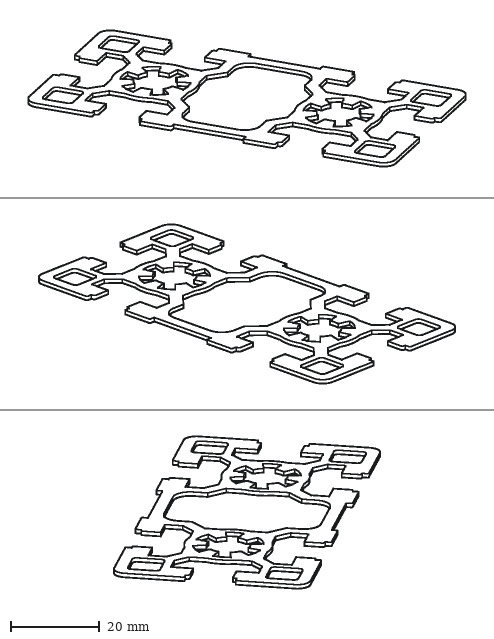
import cadquery as cq
import math

cell = 45.0
length = 2 * cell
thickness = 1.0
outer_radius = 3.0

mouth_half = 5.85
mouth_depth = 1.4
lip_half = 4.95
lip_depth = 6.0
lip_radius = 0.5
mouth_radius = 0.3
slot_half = 10.1
floor_offset = 9.45
web_offset = 2.25
hub_radius = 10.0

bore_radius = 4.95
gap_radius = 8.0
gap_count = 6
gap_pitch = 360 / gap_count
gap_half_angle = gap_pitch / 4

corner_wall = 3.0
corner_hole = 7.4
corner_hole_radius = 1.0

opening_half_width = 9.45
opening_wall = 4.5
opening_radius = 4.0
recess_half_width = 8.8

cell_half = cell / 2
cell_centers = (-cell_half, cell_half)


def extruded(outline):
    return outline.close().extrude(thickness)


def t_slot():
    """T-slot cutter for a cell centred on the origin, opening toward +Y."""
    lip_top = cell_half - mouth_depth
    lip_bottom = cell_half - lip_depth
    hub_half_angle = math.acos(floor_offset / hub_radius)
    hub_half_width = hub_radius * math.sin(hub_half_angle)
    hub_mid_x = hub_radius * math.sin(hub_half_angle / 2)
    hub_mid_y = hub_radius * math.cos(hub_half_angle / 2)
    round_mid = lip_radius * (1 - math.sqrt(0.5))
    half_slot = extruded(
        cq.Workplane("XY")
        .moveTo(0, cell_half)
        .lineTo(0, hub_radius)
        .threePointArc((hub_mid_x, hub_mid_y), (hub_half_width, floor_offset))
        .lineTo(floor_offset - web_offset, floor_offset)
        .lineTo(slot_half, slot_half + web_offset)
        .lineTo(slot_half, lip_bottom)
        .lineTo(lip_half, lip_bottom)
        .lineTo(lip_half, lip_top - lip_radius)
        .threePointArc((lip_half + round_mid, lip_top - round_mid), (lip_half + lip_radius, lip_top))
        .lineTo(mouth_half, lip_top)
        .lineTo(mouth_half, cell_half)
    )
    return half_slot.mirror("YZ", union=True)


def core_bore():
    """Round bore with evenly spaced radial gaps, leaving teeth between them."""
    bore = cq.Workplane("XY").circle(bore_radius).extrude(thickness)
    angle = math.radians(gap_half_angle)
    gap_x = gap_radius * math.cos(angle)
    gap_y = gap_radius * math.sin(angle)
    gap = extruded(
        cq.Workplane("XY")
        .lineTo(gap_x, -gap_y)
        .threePointArc((gap_radius, 0), (gap_x, gap_y))
    )
    for index in range(gap_count):
        bore = bore.union(gap.rotate((0, 0, 0), (0, 0, 1), index * gap_pitch))
    return bore


def corner_holes():
    spacing_x = length - 2 * corner_wall - corner_hole
    spacing_y = cell - 2 * corner_wall - corner_hole
    return (
        cq.Workplane("XY")
        .rarray(spacing_x, spacing_y, 2, 2)
        .rect(corner_hole, corner_hole)
        .extrude(thickness)
        .edges("|Z")
        .fillet(corner_hole_radius)
    )


def middle_opening():
    """Tall opening between the cells, widened toward each hub, which bulges into it."""
    top = cell_half - opening_wall
    shoulder_y = cell_half - opening_half_width - web_offset
    wide_half = cell_half - floor_offset
    wide_y = floor_offset - web_offset
    tall = (
        cq.Workplane("XY")
        .rect(2 * opening_half_width, 2 * top)
        .extrude(thickness)
        .edges("|Z")
        .fillet(opening_radius)
    )
    wide = extruded(
        cq.Workplane("XY")
        .polyline([
            (-opening_half_width, shoulder_y),
            (opening_half_width, shoulder_y),
            (wide_half, wide_y),
            (wide_half, -wide_y),
            (opening_half_width, -shoulder_y),
            (-opening_half_width, -shoulder_y),
            (-wide_half, -wide_y),
            (-wide_half, wide_y),
        ])
    )
    hubs = (
        cq.Workplane("XY")
        .pushPoints([(x, 0) for x in cell_centers])
        .circle(hub_radius)
        .extrude(thickness)
    )
    return tall.union(wide).cut(hubs)


def side_recesses():
    return (
        cq.Workplane("XY")
        .rarray(0.9, cell - mouth_depth, 1, 2)
        .rect(2 * recess_half_width, mouth_depth)
        .extrude(thickness)
    )


def is_plate_corner(edge):
    middle = edge.Center()
    return abs(middle.x) > length / 2 - mouth_radius and abs(middle.y) > cell_half - mouth_radius


plate = cq.Workplane("XY").rect(length, cell).extrude(thickness)

for center_x in cell_centers:
    end_angle = 90 if center_x < 0 else -90
    for slot_angle in (0, 180, end_angle):
        slot = t_slot().rotate((0, 0, 0), (0, 0, 1), slot_angle)
        plate = plate.cut(slot.translate((center_x, 0, 0)))
    plate = plate.cut(core_bore().translate((center_x, 0, 0)))

plate = plate.cut(corner_holes()).cut(middle_opening()).cut(side_recesses())

outer_edges = plate.faces("<X or >X or <Y or >Y").edges("|Z")
mouth_edges = outer_edges.filter(lambda edge: not is_plate_corner(edge))
plate = mouth_edges.fillet(mouth_radius)
result = plate.edges("|Z").filter(is_plate_corner).fillet(outer_radius)